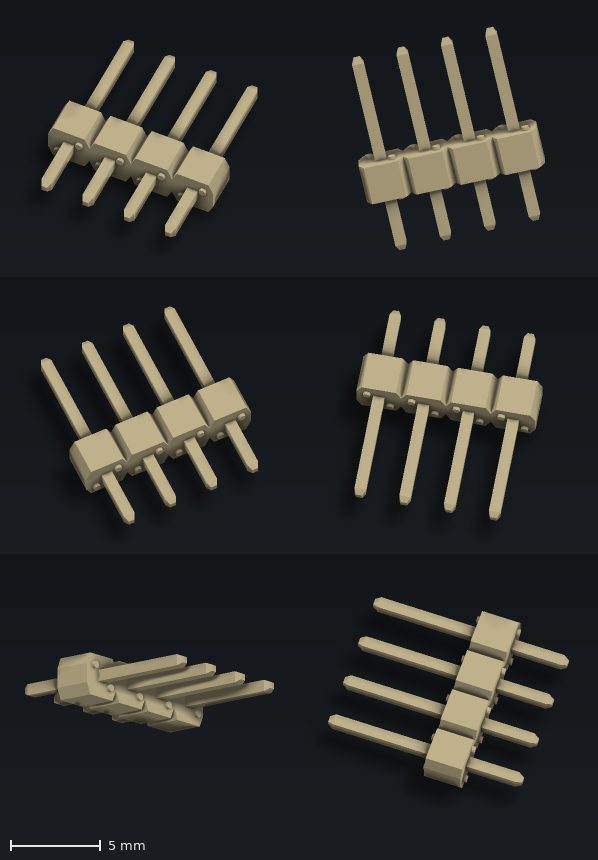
import cadquery as cq


pin_count = 4
body_length = 10.16
body_height = 2.41
body_depth = 2.15
pitch = body_length / pin_count
notch_depth = 0.65
notch_half_width = 0.3

pin_length = 11.43
pin_width = 0.64
tip_length = 0.32
tip_width = 0.34
front_pin_exposure = 3.25

peg_diameter = 0.41
peg_height = 0.2
peg_offset_x = 0.66
peg_offset_z = body_height / 2 - notch_depth

body_front = -pin_length / 2 + front_pin_exposure
cell_centres = [(i - (pin_count - 1) / 2) * pitch for i in range(pin_count)]


def plane_facing_back(y):
    """Sketch plane at the given y whose normal is +Y, with local x = X and local y = -Z."""
    return cq.Workplane(cq.Plane(origin=(0, y, 0), xDir=(1, 0, 0), normal=(0, 1, 0)))


def make_body_cell(x):
    """One octagonal cell; neighbours share a side wall, leaving V notches between them."""
    half_pitch = pitch / 2
    half_flat = half_pitch - notch_half_width
    half_height = body_height / 2
    half_wall = half_height - notch_depth
    outline = [
        (x - half_pitch, -half_wall),
        (x - half_flat, -half_height),
        (x + half_flat, -half_height),
        (x + half_pitch, -half_wall),
        (x + half_pitch, half_wall),
        (x + half_flat, half_height),
        (x - half_flat, half_height),
        (x - half_pitch, half_wall),
    ]
    return plane_facing_back(body_front).polyline(outline).close().extrude(body_depth)


def make_pin_tip(x, y_base, y_end):
    """Square frustum from the full pin section at y_base to the small end at y_end."""
    return (
        plane_facing_back(y_base)
        .center(x, 0)
        .rect(pin_width, pin_width)
        .workplane(offset=y_end - y_base)
        .rect(tip_width, tip_width)
        .loft(ruled=True)
    )


def make_pin(x):
    """Square pin with a tapered tip at each end."""
    pin_end = pin_length / 2
    shank_end = pin_end - tip_length
    shank = plane_facing_back(-shank_end).center(x, 0).rect(pin_width, pin_width).extrude(2 * shank_end)
    front_tip = make_pin_tip(x, -shank_end, -pin_end)
    back_tip = make_pin_tip(x, shank_end, pin_end)
    return shank.union(front_tip).union(back_tip)


def make_pegs(x):
    """Diagonal pair of pegs running through the bar and standing proud of both faces."""
    places = [(x - peg_offset_x, peg_offset_z), (x + peg_offset_x, -peg_offset_z)]
    return (
        plane_facing_back(body_front - peg_height)
        .pushPoints(places)
        .circle(peg_diameter / 2)
        .extrude(body_depth + 2 * peg_height)
    )


result = make_body_cell(cell_centres[0])
for centre in cell_centres[1:]:
    result = result.union(make_body_cell(centre))
result = result.clean()
for centre in cell_centres:
    result = result.union(make_pin(centre)).union(make_pegs(centre))